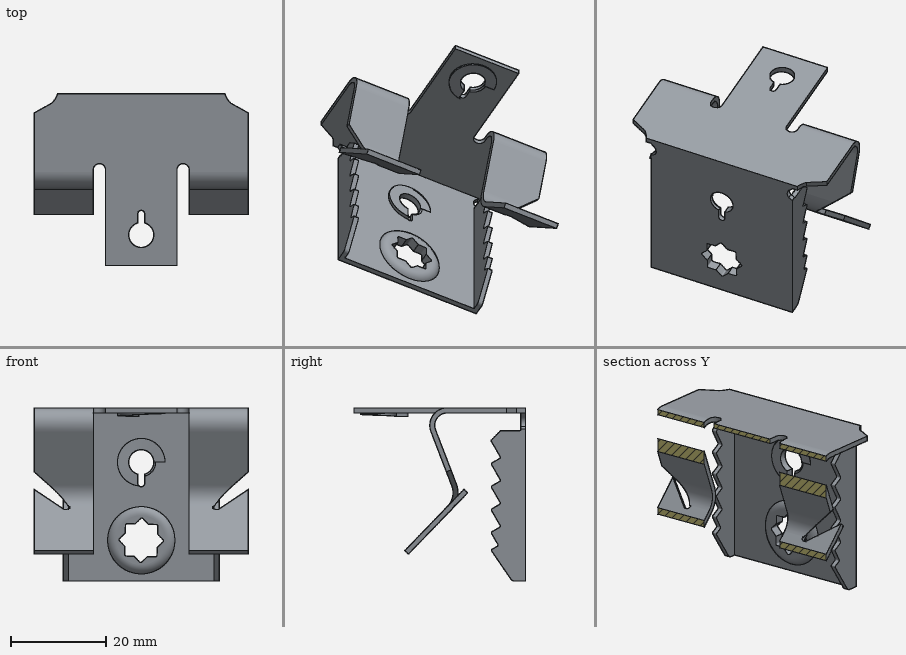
import cadquery as cq
import math


thickness = 1.1
width = 45.0
half_width = width / 2
depth = 36.1
height = 36.35

tab_half_width = 7.5
slot_width = 2.5
slot_end_y = -14.7
leg_inner_x = tab_half_width + slot_width
back_edge_half_width = 17.55
corner_arc_mid = (18.05, -1.1)
corner_arc_end = (18.75, -2.0)
corner_front_y = -4.05

flange_outer_x = 16.4
flange_inner_x = flange_outer_x - thickness
relief_start_z = -2.0
relief_bottom_x = 15.55
relief_arc_mid = (15.2, -2.95)
relief_end_z = -3.9
flange_corner_z = -4.45
flange_top_z = -4.75
flange_top_back_y = -1.5
flange_top_front_y = -5.3
flange_foot_y = -2.85
foot_radius = 1.0

tooth_tip_y = -7.35
first_tip_z = -6.85
tooth_pitch = 4.8
tooth_count = 5
last_tooth_pitch = 3.7
tooth_angle = math.radians(30)
tooth_radius = 0.25

leg_bend_y = -16.5
top_bend_radius = 3.65
leg_angle = 21.0
leg_length = 12.2
low_bend_radius = 4.1
foot_angle = 46.0
foot_length = 12.9

wing_length = 17.9
notch_inner_x = 15.0
notch_radius = 0.68
notch_bottom = 12.05
wing_root_x = 16.2
leg_cut_start = 9.05
leg_cut_end = 16.2

keyhole_radius = 2.6
keyhole_slot_width = 1.4
keyhole_slot_end = 5.15
lip_radius = 5.0
lip_start_height = 0.05
lip_end_height = 0.75
lip_turn = 270.0
chamfer_radius = 3.0
chamfer_depth = 0.22
back_keyhole_z = -11.4
tab_keyhole_y = -29.65

boss_z = -27.75
boss_radius = 7.05
boss_flat_radius = 5.2
boss_height = 1.1
star_square = 6.75
star_corner_radius = 0.3
star_tilt = -1.5
star_step = 45.0


def mirrored(shape):
    """The shape together with its mirror image across X = 0."""
    return shape.union(shape.mirror("YZ"))


def top_plate():
    """Flat top with notched back corners, two round-ended slots and the tab between them."""
    half = (
        cq.Workplane("XY")
        .moveTo(0, 0)
        .lineTo(back_edge_half_width, 0)
        .threePointArc(corner_arc_mid, corner_arc_end)
        .lineTo(half_width, corner_front_y)
        .lineTo(half_width, leg_bend_y)
        .lineTo(leg_inner_x, leg_bend_y)
        .lineTo(leg_inner_x, slot_end_y - slot_width / 2)
        .threePointArc(
            (tab_half_width + slot_width / 2, slot_end_y),
            (tab_half_width, slot_end_y - slot_width / 2),
        )
        .lineTo(tab_half_width, -depth)
        .lineTo(0, -depth)
        .close()
        .extrude(-thickness)
    )
    return mirrored(half)


def back_plate():
    """Vertical plate with a rounded relief beside the bend, above each flange."""
    half = (
        cq.Workplane("XZ")
        .moveTo(0, 0)
        .lineTo(back_edge_half_width, 0)
        .lineTo(relief_bottom_x, relief_start_z)
        .threePointArc(relief_arc_mid, (relief_bottom_x, relief_end_z))
        .lineTo(flange_outer_x, flange_corner_z)
        .lineTo(flange_outer_x, -height)
        .lineTo(0, -height)
        .close()
        .extrude(thickness)
    )
    return mirrored(half)


def flange_teeth():
    """Sharp corners (y, z) of the toothed front edge, from the top tip down."""
    pitches = [tooth_pitch] * (tooth_count - 1) + [last_tooth_pitch]
    tip_z = first_tip_z
    corners = [(tooth_tip_y, tip_z)]
    for pitch in pitches:
        drop = pitch * math.cos(tooth_angle) ** 2
        valley_depth = drop * math.tan(tooth_angle)
        corners.append((tooth_tip_y + valley_depth, tip_z - drop))
        tip_z -= pitch
        corners.append((tooth_tip_y, tip_z))
    return corners


def fillet_profile_edges(flange, high_z, low_z, radius):
    """Rounds the edges along X in front of the sheet, from high_z down to low_z."""
    margin = 0.05
    zone = cq.selectors.BoxSelector(
        (0, -depth, low_z - margin), (half_width, -thickness, high_z + margin)
    )
    return flange.edges("|X").edges(zone).fillet(radius)


def side_flange():
    """Toothed flange on the +X side, standing forward from the back plate."""
    teeth = flange_teeth()
    outline = [
        (0, flange_corner_z),
        (flange_top_back_y, flange_top_z),
        (flange_top_front_y, flange_top_z),
        *teeth,
        (flange_foot_y, -height),
        (0, -height),
    ]
    flange = (
        cq.Workplane("YZ", origin=(flange_inner_x, 0, 0))
        .polyline(outline)
        .close()
        .extrude(thickness)
    )
    top_tip_z = teeth[0][1]
    bottom_tip_z = teeth[-1][1]
    flange = fillet_profile_edges(flange, top_tip_z, bottom_tip_z, tooth_radius)
    return fillet_profile_edges(flange, -height, -height, foot_radius)


def polar(center, radius, degrees):
    """Point at a distance and an angle from a centre."""
    angle = math.radians(degrees)
    return (center[0] + radius * math.cos(angle), center[1] + radius * math.sin(angle))


leg_normal = 180 + leg_angle
foot_normal = 90 + foot_angle
top_bend_center = (leg_bend_y, -top_bend_radius)
leg_top = polar(top_bend_center, top_bend_radius, leg_normal)
leg_bottom = polar(leg_top, leg_length, leg_normal + 90)
low_bend_center = polar(leg_bottom, low_bend_radius, leg_normal)
foot_top = polar(low_bend_center, low_bend_radius, foot_normal - 180)
foot_bottom = polar(foot_top, foot_length, foot_normal + 90)


def bent_strip():
    """Leg with both bends, full width, ending where the flat foot starts."""
    inner_radius = top_bend_radius - thickness
    outer_radius = low_bend_radius + thickness
    mid_top = (90 + leg_normal) / 2
    mid_low = (leg_angle + foot_normal - 180) / 2
    return (
        cq.Workplane("YZ", origin=(leg_inner_x, 0, 0))
        .moveTo(leg_bend_y, 0)
        .threePointArc(polar(top_bend_center, top_bend_radius, mid_top), leg_top)
        .lineTo(*leg_bottom)
        .threePointArc(polar(low_bend_center, low_bend_radius, mid_low), foot_top)
        .lineTo(*polar(foot_top, -thickness, foot_normal))
        .threePointArc(
            polar(low_bend_center, outer_radius, mid_low),
            polar(leg_bottom, -thickness, leg_normal),
        )
        .lineTo(*polar(leg_top, -thickness, leg_normal))
        .threePointArc(
            polar(top_bend_center, inner_radius, mid_top), (leg_bend_y, -thickness)
        )
        .close()
        .extrude(half_width - leg_inner_x)
    )


def sheet_plane(point, normal_degrees):
    """Plane on a leg face: local x is X, local y runs up the sheet."""
    normal = polar((0, 0), 1, normal_degrees)
    return cq.Plane(origin=(0, *point), xDir=(1, 0, 0), normal=(0, *normal))


def leg_corner_cut():
    """Prism that takes the slanted outer corner off the lower leg."""
    cut_bottom = -leg_length - 2 * low_bend_radius
    return (
        cq.Workplane(sheet_plane(leg_top, leg_normal))
        .moveTo(half_width, -leg_cut_start)
        .lineTo(notch_inner_x, -leg_cut_end)
        .lineTo(notch_inner_x, cut_bottom)
        .lineTo(half_width, cut_bottom)
        .close()
        .extrude(low_bend_radius, both=True)
    )


def foot():
    """Flat lower part of a leg, with the wing that stands up outside the notch."""
    notch_corner_angle = 225
    arc_center = (notch_inner_x + notch_radius, notch_bottom + notch_radius)
    return (
        cq.Workplane(sheet_plane(foot_bottom, foot_normal))
        .moveTo(leg_inner_x, 0)
        .lineTo(half_width, 0)
        .lineTo(half_width, wing_length)
        .lineTo(wing_root_x, notch_bottom)
        .lineTo(arc_center[0], notch_bottom)
        .threePointArc(
            polar(arc_center, notch_radius, notch_corner_angle), (notch_inner_x, arc_center[1])
        )
        .lineTo(notch_inner_x, foot_length)
        .lineTo(leg_inner_x, foot_length)
        .close()
        .extrude(-thickness)
    )


def helical_lip():
    """Ramp around the Z axis that rises counterclockwise above Z = 0, from the +X side."""
    lip_core_radius = keyhole_radius / 2
    sunk = lip_end_height
    rise = lip_end_height - lip_start_height
    path = cq.Wire.makeHelix(rise * 360 / lip_turn, rise, lip_radius)
    return (
        cq.Workplane("XZ")
        .moveTo(lip_core_radius, lip_start_height)
        .lineTo(lip_radius, lip_start_height)
        .lineTo(lip_radius, -sunk)
        .lineTo(lip_core_radius, -sunk)
        .close()
        .sweep(cq.Workplane(path), isFrenet=True)
    )


def keyhole_cut():
    """Round hole with a round-ended slot towards -Y."""
    reach = 2 * thickness
    hole = cq.Workplane("XY").circle(keyhole_radius).extrude(reach, both=True)
    slot_length = keyhole_slot_end - keyhole_slot_width / 2
    slot = (
        cq.Workplane("XY")
        .center(0, -slot_length / 2)
        .slot2D(slot_length + keyhole_slot_width, keyhole_slot_width, 90)
        .extrude(reach, both=True)
    )
    return hole.union(slot)


def keyhole_chamfer():
    """Cone that widens the hole in the quarter turn that has no lip."""
    return (
        cq.Workplane("XZ")
        .moveTo(0, 0)
        .lineTo(chamfer_radius, 0)
        .lineTo(keyhole_radius, -chamfer_depth)
        .lineTo(0, -chamfer_depth)
        .close()
        .revolve(360 - lip_turn, (0, 0), (0, 1))
        .rotate((0, 0, 0), (0, 0, 1), lip_turn)
    )


def boss():
    """Round pad whose edge is an arc that runs tangent into the flat top."""
    edge_width = boss_radius - boss_flat_radius
    edge_radius = (edge_width**2 + boss_height**2) / (2 * boss_height)
    top = -thickness - boss_height
    arc_center = (boss_flat_radius, top + edge_radius)
    arc_angle = math.degrees(math.asin(edge_width / edge_radius))
    return (
        cq.Workplane("XY", origin=(0, 0, boss_z))
        .lineTo(boss_radius, 0)
        .lineTo(boss_radius, -thickness)
        .threePointArc(polar(arc_center, edge_radius, arc_angle / 2 - 90), (boss_flat_radius, top))
        .lineTo(0, top)
        .close()
        .revolve(360, (0, 0), (0, 1))
    )


def star_cut():
    """Two square prisms turned half a quarter turn from each other."""
    prism = (
        cq.Workplane("XZ", origin=(0, 0, boss_z))
        .rect(star_square, star_square)
        .extrude(boss_radius)
        .edges("|Y")
        .fillet(star_corner_radius)
    )
    axis = ((0, 0, boss_z), (0, -1, boss_z))
    return prism.rotate(*axis, star_tilt).union(prism.rotate(*axis, star_tilt + star_step))


def on_back_plate(shape):
    """Moves a shape made around the Z axis to the front face of the back plate."""
    return shape.rotate((0, 0, 0), (1, 0, 0), 90).translate((0, -thickness, back_keyhole_z))


def on_tab(shape):
    """Moves a shape made around the Z axis to the underside of the tab."""
    return shape.rotate((0, 0, 0), (1, 0, 0), 180).translate((0, tab_keyhole_y, -thickness))


leg = bent_strip().cut(leg_corner_cut()).union(foot())

result = top_plate().union(back_plate()).union(mirrored(side_flange())).union(mirrored(leg))
result = result.union(boss()).cut(star_cut())
for place in (on_back_plate, on_tab):
    result = result.cut(place(keyhole_chamfer()))
    result = result.union(place(helical_lip())).cut(place(keyhole_cut()))